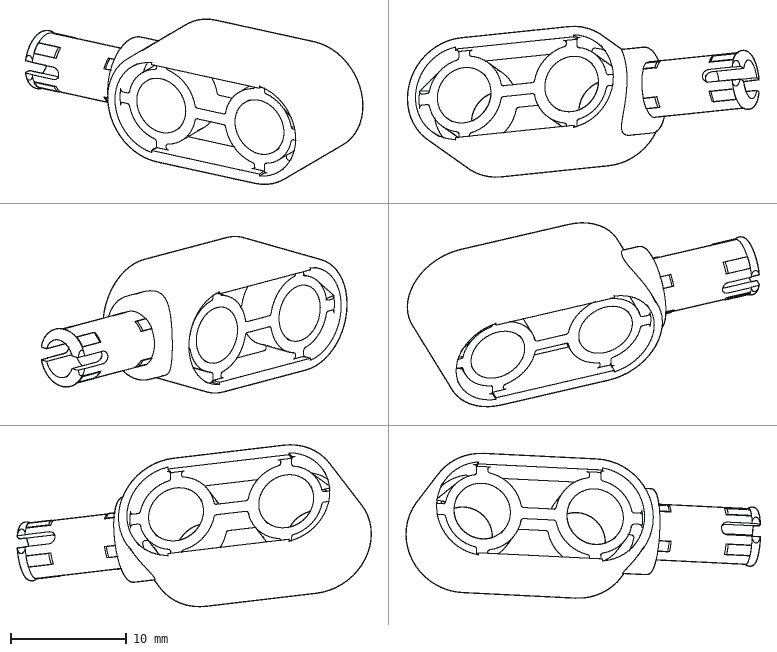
import cadquery as cq
import math

total_length = 30.02
beam_height = 10.0
beam_depth = 10.0
end_radius = beam_height / 2
hole_spacing = 10.0
far_hole_x = total_length - end_radius
near_hole_x = far_hole_x - hole_spacing
mid_x = (near_hole_x + far_hole_x) / 2
edge_fillet = 0.12

hole_radius = 2.5
tube_outer_side_radius = 3.3
tube_inner_side_radius = 3.5
end_cavity_radius = 4.2
side_cavity_half_height = 4.0
rib_thickness = 1.0
floor_thickness = 1.0
recess_depth = 0.85
pocket_fillet = 0.25

collar_radius = 3.75
collar_start_x = 9.15
collar_fillet = 0.35

pin_radius = 2.43
bore_radius = 1.68
lip_length = 0.78
lip_radius = 2.58
lip_face_radius = 2.22
lip_flat_half_width = 2.3
slot_half_height = 0.57
slot_depth = 3.5

tab_radius = 2.5
tab_width = 1.05
tab_ramp = 0.18
front_tab_ramp_x = 3.03
rear_tab_ramp_x = 7.9


def disk_along_x(radius, start, end):
    """Cylinder on the pin axis between two X positions."""
    return cq.Workplane("YZ", origin=(start, 0, 0)).circle(radius).extrude(end - start)


def box_between(x_start, x_end, depth, height):
    """Box centred on the X axis between two X positions."""
    return cq.Workplane("XY").box(x_end - x_start, depth, height).translate(((x_start + x_end) / 2, 0, 0))


def cylinders_along_y(radius, depth):
    """Pair of cylinders on the two hole axes, centred on Y = 0."""
    centers = [(near_hole_x, 0), (far_hole_x, 0)]
    return cq.Workplane("XZ").pushPoints(centers).circle(radius).extrude(depth / 2, both=True)


def make_beam_body():
    length = hole_spacing + 2 * end_radius
    outline = cq.Workplane("XZ").center(mid_x, 0).slot2D(length, beam_height)
    return outline.extrude(beam_depth / 2, both=True).faces("<Y or >Y").edges().fillet(edge_fillet)


def make_cavity(depth):
    """Inner outline of the wall: round at the ends, narrower between the outer rib edges."""
    flat_start = near_hole_x - rib_thickness / 2
    flat_end = far_hole_x + rib_thickness / 2
    height = 2 * side_cavity_half_height
    middle = box_between(flat_start, flat_end, depth, height)
    ends = cylinders_along_y(end_cavity_radius, depth).cut(
        box_between(flat_start, flat_end, depth, beam_height)
    )
    return middle.union(ends)


def make_pockets():
    """Spaces between wall, tubes and ribs, on both sides of the floor."""
    inner_tubes = cylinders_along_y(tube_inner_side_radius, beam_depth).intersect(
        box_between(near_hole_x, far_hole_x, beam_depth, beam_height)
    )
    pockets = make_cavity(beam_depth).cut(cylinders_along_y(tube_outer_side_radius, beam_depth))
    pockets = pockets.cut(inner_tubes)
    pockets = pockets.cut(box_between(0, total_length, beam_depth, rib_thickness))
    for hole_x in (near_hole_x, far_hole_x):
        rib = box_between(hole_x - rib_thickness / 2, hole_x + rib_thickness / 2, beam_depth, beam_height)
        pockets = pockets.cut(rib)
    pockets = pockets.edges("|Y").fillet(pocket_fillet)
    return pockets.cut(box_between(0, total_length, floor_thickness, beam_height))


def make_collar():
    collar = disk_along_x(collar_radius, collar_start_x, near_hole_x)
    return collar.faces("<X").edges().fillet(collar_fillet)


def make_tab(ramp_foot_x, plain_end_x, angle):
    """Low pad on the pin: a sleeve with a conical ramp at one end, cut to the tab width."""
    ramp_top_x = ramp_foot_x + math.copysign(tab_ramp, plain_end_x - ramp_foot_x)
    profile = [
        (ramp_foot_x, 0),
        (ramp_foot_x, pin_radius),
        (ramp_top_x, tab_radius),
        (plain_end_x, tab_radius),
        (plain_end_x, 0),
    ]
    sleeve = cq.Workplane("XY").polyline(profile).close().revolve(360, (0, 0, 0), (1, 0, 0))
    block = box_between(0, total_length, tab_width, tab_radius).translate((0, 0, pin_radius))
    return sleeve.intersect(block).rotate((0, 0, 0), (1, 0, 0), angle)


def make_lip():
    """Rounded bead at the pin tip that runs down to the pin surface, flattened on both sides."""
    bead = (
        cq.Workplane("XY")
        .lineTo(0, lip_face_radius)
        .threePointArc((lip_length / 2, lip_radius), (lip_length, pin_radius))
        .lineTo(lip_length, 0)
        .close()
        .revolve(360, (0, 0, 0), (1, 0, 0))
    )
    return bead.intersect(box_between(0, lip_length, 2 * lip_flat_half_width, beam_height))


def make_pin():
    pin = make_lip().union(disk_along_x(pin_radius, lip_length, near_hole_x))
    for angle in (45, 135, 225, 315):
        pin = pin.union(make_tab(front_tab_ramp_x, lip_length, angle))
        pin = pin.union(make_tab(rear_tab_ramp_x, near_hole_x, angle))
    pin = pin.cut(disk_along_x(bore_radius, 0, slot_depth))
    slot_end_center = slot_depth - slot_half_height
    slot = box_between(0, slot_end_center, beam_depth, 2 * slot_half_height)
    slot_end = (
        cq.Workplane("XZ", origin=(slot_end_center, 0, 0))
        .circle(slot_half_height)
        .extrude(beam_depth / 2, both=True)
    )
    return pin.cut(slot).cut(slot_end)


def make_recesses():
    """Shallow hollows that set the tube and rib faces back from the wall."""
    return make_cavity(beam_depth).cut(
        box_between(0, total_length, beam_depth - 2 * recess_depth, beam_height)
    )


result = (
    make_beam_body()
    .union(make_collar())
    .union(make_pin())
    .cut(make_recesses())
    .cut(make_pockets())
    .cut(cylinders_along_y(hole_radius, beam_depth))
)